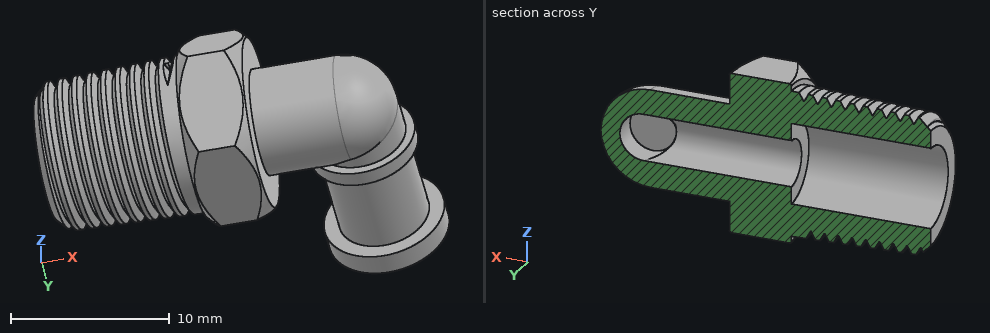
import cadquery as cq
import math

LENGTH = 23.6

TIP_RADIUS = 4.0
CONE_END_RADIUS = 5.07
CONE_SLOPE = 1 / 32
PITCH = 0.941
GROOVE_DEPTH = 0.55
GROOVE_HALF_ANGLE = 30.0
GROOVE_TURNS = 10
GROOVE_END_X = 8.9
GROOVE_END_ANGLE = 18.0
RUNOUT_LENGTH = 2.83
CUTTER_EXCESS = 0.1

HEX_START = 9.53
HEX_END = 13.8
HEX_FLATS = 11.1
HEX_FACE_RADIUS = 5.45

SPOUT_RADIUS = 6.82 / 2

PORT_RADIUS = 5.85 / 2
PORT_END = 10.7
FLANGE_RADIUS = 7.8 / 2
FLANGE_THICKNESS = 1.45
COLLAR_RADIUS = 7.0 / 2
COLLAR_START = 2.5
COLLAR_THICKNESS = 1.0
PORT_X = LENGTH - FLANGE_RADIUS
SPHERE_X = PORT_X + PORT_RADIUS - SPOUT_RADIUS

BORE_RADIUS = 3.18 / 2
COUNTERBORE_RADIUS = 5.57 / 2
COUNTERBORE_DEPTH = HEX_START


def x_cylinder(radius, start, end):
    return cq.Workplane("YZ", origin=(start, 0, 0)).circle(radius).extrude(end - start)


def port_cylinder(radius, start, end):
    return cq.Workplane("XZ", origin=(PORT_X, start, 0)).circle(radius).extrude(start - end)


def cone_radius(x):
    return CONE_END_RADIUS - CONE_SLOPE * (HEX_START - x)


def thread_blank():
    """Tapered plug with a 45 degree lead-in at its tip."""
    lead_in = (cone_radius(0) - TIP_RADIUS) / (1 - CONE_SLOPE)
    return (
        cq.Workplane("XY")
        .polyline([
            (0, 0),
            (0, TIP_RADIUS),
            (lead_in, cone_radius(lead_in)),
            (HEX_START, CONE_END_RADIUS),
            (HEX_START, 0),
        ])
        .close()
        .revolve(360, (0, 0, 0), (1, 0, 0))
    )


def groove_profile(x):
    """V section of the thread groove, drawn with the thread axis along local Z."""
    root = cone_radius(x) - GROOVE_DEPTH
    height = GROOVE_DEPTH + CUTTER_EXCESS
    half_width = height * math.tan(math.radians(GROOVE_HALF_ANGLE))
    return (
        cq.Workplane("XZ")
        .polyline([(root, x), (root + height, x - half_width), (root + height, x + half_width)])
        .close()
    )


def thread_cutters():
    """Helical groove and its straight tangential run-out, turned onto the X axis."""
    travel = GROOVE_TURNS * PITCH
    start_x = GROOVE_END_X - travel
    taper = math.degrees(math.atan(CONE_SLOPE))
    helix = cq.Wire.makeHelix(
        PITCH, travel, cone_radius(start_x), cq.Vector(0, 0, start_x), cq.Vector(0, 0, 1), taper
    )
    groove = groove_profile(start_x).sweep(cq.Workplane(obj=helix), isFrenet=True)
    runout = groove_profile(GROOVE_END_X).extrude(-RUNOUT_LENGTH)
    return [
        cutter.rotate((0, 0, 0), (0, 1, 0), 90).rotate((0, 0, 0), (1, 0, 0), -90 - GROOVE_END_ANGLE)
        for cutter in (groove, runout)
    ]


def hexagon():
    """Hexagon with flats facing +Z and -Z and 45 degree turned corners at both ends."""
    corner_radius = HEX_FLATS / math.sqrt(3)
    width = HEX_END - HEX_START
    prism = cq.Workplane("YZ", origin=(HEX_START, 0, 0)).polygon(6, 2 * corner_radius).extrude(width)
    chamfer = corner_radius - HEX_FACE_RADIUS
    turned = x_cylinder(corner_radius, HEX_START, HEX_END).edges().chamfer(chamfer)
    return prism.intersect(turned)


def spout():
    ball = cq.Workplane("XY", origin=(SPHERE_X, 0, 0)).sphere(SPOUT_RADIUS)
    return x_cylinder(SPOUT_RADIUS, HEX_END, SPHERE_X).union(ball)


def port():
    return (
        port_cylinder(PORT_RADIUS, 0, PORT_END)
        .union(port_cylinder(COLLAR_RADIUS, COLLAR_START, COLLAR_START + COLLAR_THICKNESS))
        .union(port_cylinder(FLANGE_RADIUS, PORT_END - FLANGE_THICKNESS, PORT_END))
    )


thread = thread_blank()
for cutter in thread_cutters():
    thread = thread.cut(cutter)

result = (
    thread.union(hexagon())
    .union(spout())
    .union(port())
    .cut(x_cylinder(COUNTERBORE_RADIUS, 0, COUNTERBORE_DEPTH))
    .cut(x_cylinder(BORE_RADIUS, 0, PORT_X))
    .cut(port_cylinder(BORE_RADIUS, -BORE_RADIUS, PORT_END))
)